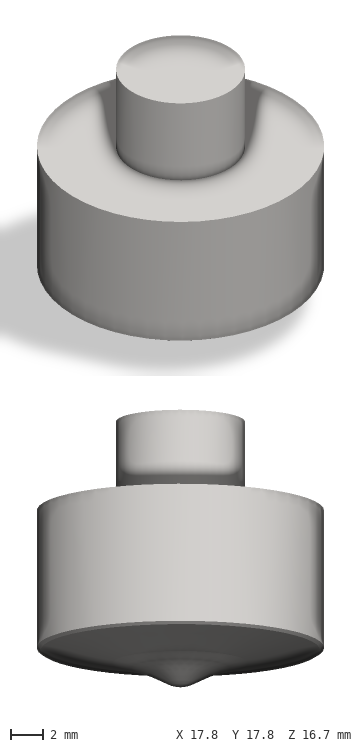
import cadquery as cq
import math

STEM_DIAMETER = 8.0
STEM_HEIGHT = 5.6
BODY_DIAMETER = 17.8
WALL_HEIGHT = 8.64
POINT_DEPTH = 11.1
CONE_ANGLE = 10.8
RIM_CHAMFER_WIDTH = 0.25
RIM_CHAMFER_HEIGHT = 0.16
BLEND_RADIUS = 11.0
TIP_RADIUS = 1.8

stem_radius = STEM_DIAMETER / 2
body_radius = BODY_DIAMETER / 2
cone_radius = body_radius - RIM_CHAMFER_WIDTH
cone_z = -WALL_HEIGHT - RIM_CHAMFER_HEIGHT
slope = math.radians(CONE_ANGLE)


def on_circle(center, radius, angle):
    """Point (r, z) at an angle, measured from straight down towards larger r."""
    r, z = center
    return (r + radius * math.sin(angle), z - radius * math.cos(angle))


def point_arcs():
    """Tangent concave blend and spherical tip, each as start, middle and end points."""
    tip_center = (0, -POINT_DEPTH + TIP_RADIUS)
    center_distance = TIP_RADIUS + BLEND_RADIUS

    apex_z = cone_z - cone_radius * math.tan(slope)
    height_above_cone = (tip_center[1] - apex_z) * math.cos(slope)

    blend_sweep = math.acos((height_above_cone + BLEND_RADIUS) / center_distance)
    tip_angle = slope + blend_sweep
    blend_center = on_circle(tip_center, center_distance, tip_angle)

    blend_angles = (slope, slope + blend_sweep / 2, tip_angle)
    blend = [on_circle(blend_center, -BLEND_RADIUS, angle) for angle in blend_angles]
    tip = [on_circle(tip_center, TIP_RADIUS, angle) for angle in (tip_angle, tip_angle / 2, 0)]
    return blend, tip


def half_profile():
    """Closed half section in the XZ plane, from the axis at the stem top to the tip."""
    blend, tip = point_arcs()
    return (
        cq.Workplane("XZ")
        .moveTo(0, STEM_HEIGHT)
        .lineTo(stem_radius, STEM_HEIGHT)
        .lineTo(stem_radius, 0)
        .lineTo(body_radius, 0)
        .lineTo(body_radius, -WALL_HEIGHT)
        .lineTo(cone_radius, cone_z)
        .lineTo(*blend[0])
        .threePointArc(blend[1], blend[2])
        .threePointArc(tip[1], tip[2])
        .close()
    )


result = half_profile().revolve(360, (0, 0, 0), (0, 1, 0))